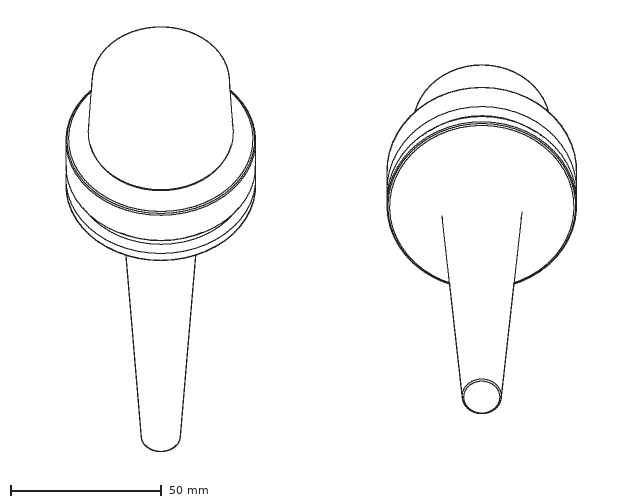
import cadquery as cq
import math


taper_length = 31.9
taper_top_radius = 22.85
taper_base_radius = 24.1
taper_base_height = 3.4
taper_top_fillet = 1.0

neck_radius = 23.7
neck_top_height = 2.4
neck_fillet = 0.7

recess_outer_radius = 26.4
recess_inner_radius = neck_radius + neck_fillet
recess_depth = 0.37

flange_radius = 31.5
flange_thickness = 26.0
rim_bevel = 0.9
rim_bevel_step = 0.35
groove_floor_radius = 27.5
groove_shoulder_radius = 29.0
groove_center_depth = 17.9
groove_floor_width = 3.5
groove_mouth_width = 7.0

tip_depth = 160.0
tip_radius = 6.5
tip_chamfer = 0.5
shank_half_angle = 3.0
shank_fillet = 3.0


def flange_profile(profile):
    """Add the contact face, the bevelled rim and its groove, down to the underside."""
    mouth_top = -groove_center_depth + groove_mouth_width / 2
    floor_top = -groove_center_depth + groove_floor_width / 2
    floor_bottom = floor_top - groove_floor_width
    mouth_bottom = mouth_top - groove_mouth_width
    return (
        profile
        .lineTo(flange_radius - rim_bevel, 0)
        .lineTo(flange_radius - rim_bevel_step, -rim_bevel_step)
        .lineTo(flange_radius, -rim_bevel)
        .lineTo(flange_radius, mouth_top)
        .lineTo(groove_shoulder_radius, floor_top)
        .lineTo(groove_floor_radius, floor_top)
        .lineTo(groove_floor_radius, floor_bottom)
        .lineTo(groove_shoulder_radius, floor_bottom)
        .lineTo(flange_radius, mouth_bottom)
        .lineTo(flange_radius, -flange_thickness + rim_bevel)
        .lineTo(flange_radius - rim_bevel_step, -flange_thickness + rim_bevel_step)
        .lineTo(flange_radius - rim_bevel, -flange_thickness)
    )


def shank_profile(profile):
    """Add the root fillet, the cone and the chamfered tip."""
    angle = math.radians(shank_half_angle)
    root_radius = tip_radius + (tip_depth - flange_thickness) * math.tan(angle)
    tangent_length = shank_fillet * math.tan((math.pi / 2 - angle) / 2)
    fillet_center = (root_radius + tangent_length, -flange_thickness - shank_fillet)
    middle_angle = (math.pi / 2 + math.pi - angle) / 2
    fillet_middle = (
        fillet_center[0] + shank_fillet * math.cos(middle_angle),
        fillet_center[1] + shank_fillet * math.sin(middle_angle),
    )
    fillet_end = (
        root_radius - tangent_length * math.sin(angle),
        -flange_thickness - tangent_length * math.cos(angle),
    )
    return (
        profile
        .lineTo(fillet_center[0], -flange_thickness)
        .threePointArc(fillet_middle, fillet_end)
        .lineTo(tip_radius + tip_chamfer * math.tan(angle), -tip_depth + tip_chamfer)
        .lineTo(tip_radius - tip_chamfer, -tip_depth)
        .lineTo(0, -tip_depth)
    )


def taper_profile():
    """Start the outline on the axis at the top and run down the taper and neck to the recess edge."""
    return (
        cq.Workplane("XZ")
        .moveTo(0, taper_length)
        .lineTo(taper_top_radius - taper_top_fillet, taper_length)
        .radiusArc((taper_top_radius, taper_length - taper_top_fillet), taper_top_fillet)
        .lineTo(taper_base_radius, taper_base_height)
        .lineTo(neck_radius, neck_top_height)
        .lineTo(neck_radius, neck_fillet - recess_depth)
        .radiusArc((recess_inner_radius, -recess_depth), -neck_fillet)
        .lineTo(recess_outer_radius, 0)
    )


outline = shank_profile(flange_profile(taper_profile())).close()
result = outline.revolve(360, (0, 0, 0), (0, 1, 0))